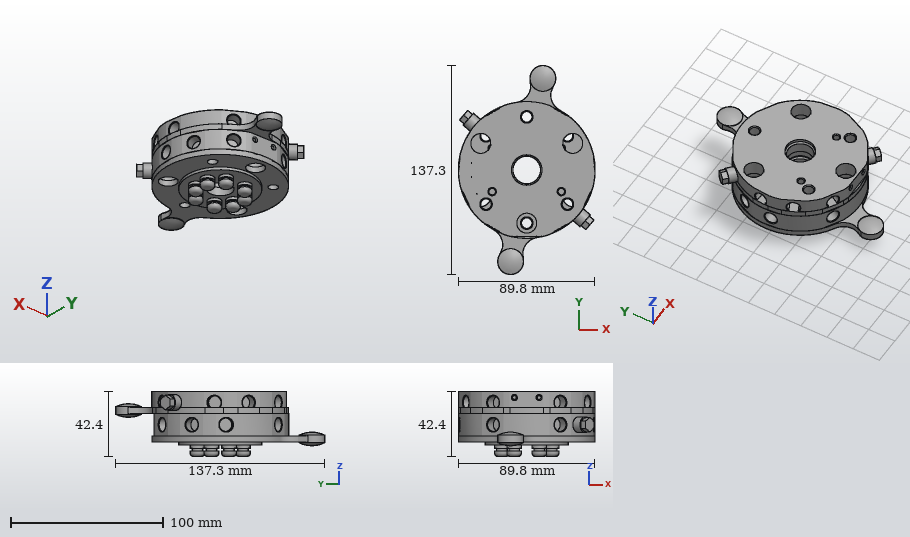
import cadquery as cq
import math

overall_length = 137.3

lever_disc_dia = 89.8
lever_disc_radius = lever_disc_dia / 2
lever_thickness = 4.1
lever_angle = 80
knob_radius = 8.5
knob_distance = (overall_length / 2 - knob_radius) / math.sin(math.radians(lever_angle))
knob_rim_height = 5.0
knob_height = 9.0
arm_end_distance = 60.1
arm_neck_half_width = 6.9
arm_flank_radius = 11.4

recess_wall = 0.07
housing_radius = lever_disc_radius + recess_wall
housing_dia = 2 * housing_radius
housing_height = 14.5
center_bore_dia = 18.0
center_bore_mouth_dia = 20.0
center_bore_mouth_depth = 2.0

port_angles = [60, 120, 205, 240, 300, 335]
port_flat_distance = 44.2
side_port_angles = [5, 175]
side_port_flat_distance = 44.5
port_dia = 8.8
port_mouth_dia = 9.7
port_depth = 8.0

front_flat_distance = 43.5
front_hole_spacing = 16.2
front_hole_drop = 4.0
front_hole_dia = 2.5
front_hole_mouth_dia = 4.0
front_hole_depth = 4.1

bolt_circle_radius = 34.9
large_hole_angles = [30, 150, 270]
large_hole_dia = 13.0
bolt_hole_angles = [90, 220, 320]
bolt_hole_dia = 6.9
bolt_hole_mouth_dia = 8.2
dowel_hole_radius = 26.8
dowel_hole_angles = [212, 328]
dowel_hole_dia = 4.3
dowel_hole_mouth_dia = 5.5
dowel_hole_depth = 6.9

plug_angle = 139
plug_dia = 10.5
plug_root_radius = 41.2
plug_shoulder_radius = 50.8
plug_end_radius = 54.9
plug_hex_dia = 9.6

hub_dia = 54.6
hub_height = 2.0
peg_dia = 9.7
peg_neck_dia = 7.1
peg_collar_height = 2.0
peg_neck_height = 1.6
peg_head_height = 3.7
peg_end_fillet = 2.3
peg_places = [(16.3, 5.8), (8.2, 15.0)]

lower_housing_top = -housing_height
upper_lever_bottom = -housing_height
lower_lever_bottom = -2 * housing_height - lever_thickness


def at_angle(radius, angle):
    """Point in plan at a polar place."""
    turn = math.radians(angle)
    return radius * math.cos(turn), radius * math.sin(turn)


def side_plane(angle, distance, height):
    """Plane whose normal points radially outward."""
    x, y = at_angle(distance, angle)
    normal = at_angle(1, angle)
    return cq.Plane(origin=(x, y, height), xDir=(-normal[1], normal[0], 0), normal=(*normal, 0))


def chamfered_hole(plane, dia, mouth_dia, depth):
    """Cutter sunk into a plane against its normal, with a 45 degree mouth."""
    radius = dia / 2
    mouth_radius = mouth_dia / 2
    chamfer = mouth_radius - radius
    profile = (
        cq.Workplane("XZ")
        .polyline([(0, 0), (mouth_radius, 0), (radius, -chamfer), (radius, -depth), (0, -depth)])
        .close()
        .revolve(360, (0, 0, 0), (0, 1, 0))
        .val()
    )
    return cq.Workplane(profile.moved(cq.Location(plane)))


def cut_flat(body, angle, distance):
    """Plane off everything farther out than the given distance."""
    block = cq.Workplane(side_plane(angle, distance, -housing_height / 2)).rect(housing_dia, 2 * housing_height)
    return body.cut(block.extrude(housing_radius))


def cut_port(body, angle, flat_distance):
    """Flat on the round side with a blind port in its middle."""
    mouth = side_plane(angle, flat_distance, -housing_height / 2)
    return cut_flat(body, angle, flat_distance).cut(chamfered_hole(mouth, port_dia, port_mouth_dia, port_depth))


def cut_ports(body):
    for angle in port_angles:
        body = cut_port(body, angle, port_flat_distance)
    for angle in side_port_angles:
        body = cut_port(body, angle, side_port_flat_distance)
    return body


def cut_front_flat(body):
    body = cut_flat(body, 270, front_flat_distance)
    for x in (-front_hole_spacing / 2, front_hole_spacing / 2):
        mouth = cq.Plane(origin=(x, -front_flat_distance, -front_hole_drop), xDir=(1, 0, 0), normal=(0, -1, 0))
        body = body.cut(chamfered_hole(mouth, front_hole_dia, front_hole_mouth_dia, front_hole_depth))
    return body


def cut_top_holes(body):
    """Bolt, dowel and clearance holes and the central bore."""
    mouth = cq.Workplane("XY").circle(center_bore_mouth_dia / 2).extrude(-center_bore_mouth_depth)
    bore_start = cq.Plane(origin=(0, 0, -center_bore_mouth_depth))
    bore = chamfered_hole(bore_start, center_bore_dia, center_bore_mouth_dia, housing_height)
    body = body.cut(mouth).cut(bore)
    for angle in bolt_hole_angles:
        mouth = cq.Plane(origin=(*at_angle(bolt_circle_radius, angle), 0))
        body = body.cut(chamfered_hole(mouth, bolt_hole_dia, bolt_hole_mouth_dia, housing_height))
    for angle in dowel_hole_angles:
        mouth = cq.Plane(origin=(*at_angle(dowel_hole_radius, angle), 0))
        body = body.cut(chamfered_hole(mouth, dowel_hole_dia, dowel_hole_mouth_dia, dowel_hole_depth))
    large_holes = (
        cq.Workplane("XY")
        .pushPoints([at_angle(bolt_circle_radius, angle) for angle in large_hole_angles])
        .circle(large_hole_dia / 2)
        .extrude(-housing_height)
    )
    return body.cut(large_holes)


def add_plug(body):
    """Round stub with a hexagonal end, two of its corners pointing up and down."""
    root = side_plane(plug_angle, plug_root_radius, -housing_height / 2)
    shoulder = side_plane(plug_angle, plug_shoulder_radius, -housing_height / 2)
    stub = cq.Workplane(root).circle(plug_dia / 2).extrude(plug_shoulder_radius - plug_root_radius)
    hexagon = (
        cq.Workplane(shoulder)
        .transformed(rotate=(0, 0, 90))
        .polygon(6, plug_hex_dia)
        .extrude(plug_end_radius - plug_shoulder_radius)
    )
    return body.union(stub).union(hexagon)


def make_housing():
    """Housing with its top face at zero height."""
    body = cq.Workplane("XY").circle(housing_radius).extrude(-housing_height)
    body = cut_ports(body)
    body = cut_front_flat(body)
    body = add_plug(body)
    return cut_top_holes(body)


def make_lever_blank():
    """Solid disc and arm, bottom at zero height, with the arm along +X."""
    disc = cq.Workplane("XY").circle(lever_disc_radius).extrude(lever_thickness)
    flank_y = arm_neck_half_width + arm_flank_radius
    flank_distance = lever_disc_radius + arm_flank_radius
    flank_x = math.sqrt(flank_distance**2 - flank_y**2)
    rim_x = flank_x * lever_disc_radius / flank_distance
    rim_y = flank_y * lever_disc_radius / flank_distance
    middle_angle = (math.atan2(-flank_y, -flank_x) - math.pi / 2) / 2
    middle_x = flank_x + arm_flank_radius * math.cos(middle_angle)
    middle_y = flank_y + arm_flank_radius * math.sin(middle_angle)
    arm = (
        cq.Workplane("XY")
        .moveTo(rim_x, -rim_y)
        .threePointArc((middle_x, -middle_y), (flank_x, -arm_neck_half_width))
        .lineTo(arm_end_distance, -knob_radius)
        .lineTo(arm_end_distance, knob_radius)
        .lineTo(flank_x, arm_neck_half_width)
        .threePointArc((middle_x, middle_y), (rim_x, rim_y))
        .close()
        .extrude(lever_thickness)
    )
    return disc.union(arm)


def make_knob():
    """Round knob with a domed top and bottom, around the middle of the arm."""
    rim = knob_rim_height / 2
    crown = knob_height / 2
    dome_rise = crown - rim
    dome_radius = (knob_radius**2 + dome_rise**2) / (2 * dome_rise)
    half_way = knob_radius / 2
    half_way_height = crown - dome_radius + math.sqrt(dome_radius**2 - half_way**2)
    return (
        cq.Workplane("XZ")
        .moveTo(0, -crown)
        .threePointArc((half_way, -half_way_height), (knob_radius, -rim))
        .lineTo(knob_radius, rim)
        .threePointArc((half_way, half_way_height), (0, crown))
        .close()
        .revolve(360, (0, 0, 0), (0, 1, 0))
        .translate((knob_distance, 0, lever_thickness / 2))
    )


def cut_lever_holes(body):
    """Clearance holes that carry on the holes of a housing."""
    hole_sets = [(large_hole_angles, large_hole_dia), (bolt_hole_angles, bolt_hole_dia)]
    for angles, dia in hole_sets:
        holes = (
            cq.Workplane("XY")
            .pushPoints([at_angle(bolt_circle_radius, angle) for angle in angles])
            .circle(dia / 2)
            .extrude(lever_thickness)
        )
        body = body.cut(holes)
    return body


def cut_bore(body):
    """Central bore through a whole lever, with or without a hub."""
    bore = cq.Workplane("XY", origin=(0, 0, -hub_height)).circle(center_bore_dia / 2)
    return body.cut(bore.extrude(hub_height + lever_thickness))


def turn(body, angle):
    return body.rotate((0, 0, 0), (0, 0, 1), angle)


def make_lever():
    """Lever with its knob and clearance holes, bottom at zero height."""
    return cut_lever_holes(turn(make_lever_blank().union(make_knob()), lever_angle))


def make_peg():
    """Grooved peg that hangs from zero height and has a rounded end."""
    collar = cq.Workplane("XY").circle(peg_dia / 2).extrude(-peg_collar_height)
    neck = collar.faces("<Z").workplane().circle(peg_neck_dia / 2).extrude(peg_neck_height)
    head_top = -peg_collar_height - peg_neck_height
    head = cq.Workplane("XY", origin=(0, 0, head_top)).circle(peg_dia / 2).extrude(-peg_head_height)
    return neck.union(head.faces("<Z").edges().fillet(peg_end_fillet))


def make_hub():
    """Hub disc with its ring of eight pegs, top at zero height."""
    hub = cq.Workplane("XY").circle(hub_dia / 2).extrude(-hub_height)
    peg = make_peg().translate((0, 0, -hub_height))
    for x, y in peg_places:
        for side_x in (-1, 1):
            for side_y in (-1, 1):
                hub = hub.union(peg.translate((side_x * x, side_y * y, 0)))
    return hub


lever_recess = turn(make_lever_blank(), lever_angle).translate((0, 0, upper_lever_bottom))
upper_housing = make_housing().cut(lever_recess)
upper_lever = cut_bore(make_lever()).translate((0, 0, upper_lever_bottom))

lower_housing = turn(make_housing(), 180).translate((0, 0, lower_housing_top))
lower_lever = cut_bore(turn(make_lever(), 180).union(make_hub())).translate((0, 0, lower_lever_bottom))

result = cq.Compound.makeCompound(
    [upper_housing.val(), upper_lever.val(), lower_housing.val(), lower_lever.val()]
)